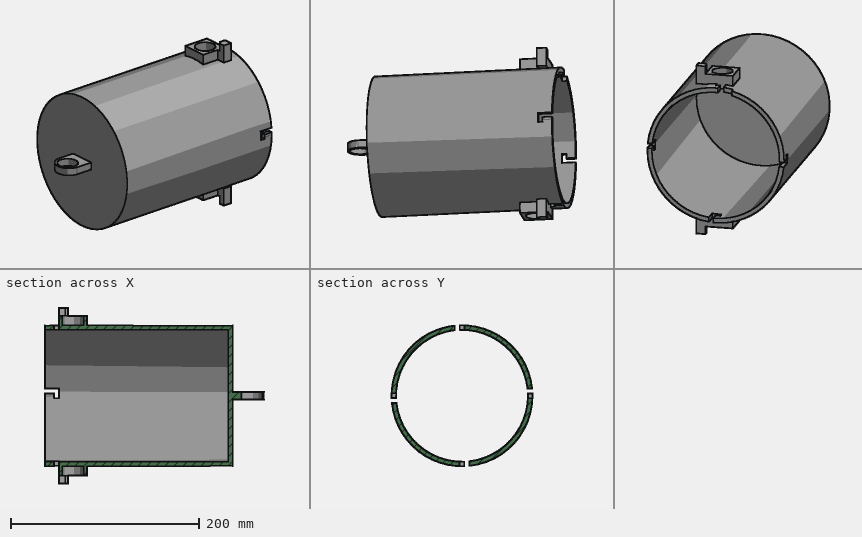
import cadquery as cq
import math

body_length = 200.0
outer_diameter = 150.0
inner_diameter = 140.0
outer_radius = outer_diameter / 2
wall = (outer_diameter - inner_diameter) / 2
floor_thickness = wall

total_length = 233.3
lug_width = 30.0
lug_thickness = 8.2
lug_straight = 20.0
lug_reach = total_length - body_length
hole_diameter = 22.2

slot_width = wall
slot_depth = 15.0
slot_count = 4
rim_notch_width = 15.2

total_height = 186.9
block_size = lug_width
block_top = 85.0
block_back = body_length - slot_depth
block_center_y = block_back - block_size / 2
post_size = 10.0
post_top = total_height / 2
post_bottom = math.sqrt(outer_radius**2 - (block_size / 2) ** 2)
post_chamfer = 3.0


def box(x_range, y_range, z_range):
    """Box spanning the given (low, high) range along each axis."""
    lows, highs = zip(x_range, y_range, z_range)
    sizes = [high - low for low, high in zip(lows, highs)]
    return cq.Workplane("XY").box(*sizes, centered=False).translate(lows)


def y_cylinder(diameter, start, end):
    """Solid cylinder on the Y axis, from Y = start to Y = end."""
    return cq.Workplane("XZ", origin=(0, start, 0)).circle(diameter / 2).extrude(start - end)


def make_lug():
    half_width = lug_width / 2
    lug = (
        cq.Workplane("XY", origin=(0, 0, -lug_thickness / 2))
        .moveTo(half_width, floor_thickness / 2)
        .lineTo(half_width, -lug_straight)
        .threePointArc((0, -lug_reach), (-half_width, -lug_straight))
        .lineTo(-half_width, floor_thickness / 2)
        .close()
        .extrude(lug_thickness)
    )
    hole = (
        cq.Workplane("XY", origin=(0, -lug_straight, -lug_thickness / 2))
        .circle(hole_diameter / 2)
        .extrude(lug_thickness)
    )
    return lug.cut(hole)


def make_slot():
    """L-shaped slot through the top wall: an entry from the rim and a sideways foot."""
    half_width = slot_width / 2
    wall_range = (outer_radius - 2 * wall, outer_radius + wall)
    entry = box((-half_width - slot_width, -half_width), (block_back, body_length), wall_range)
    foot = box((-half_width, half_width), (block_back, block_back + slot_width), wall_range)
    return entry.union(foot)


def make_rim_notch():
    """Shallow step in the rim beside the top slot entry."""
    right = -slot_width / 2
    return box(
        (right - rim_notch_width, right),
        (body_length - slot_width, body_length),
        (outer_radius - 2 * wall, outer_radius + wall),
    )


def make_socket():
    """Block with a blind round socket down to the body, and a post at its back corner."""
    half_size = block_size / 2
    block = box(
        (-half_size, half_size),
        (block_back - block_size, block_back),
        (outer_radius - wall, block_top),
    )
    socket_hole = (
        cq.Workplane("XY", origin=(0, block_center_y, 0))
        .circle(hole_diameter / 2)
        .extrude(post_top)
    )
    block = block.cut(socket_hole)

    post_x = (half_size, half_size + post_size)
    post_y = (block_back - post_size, block_back)
    post_base = box(post_x, post_y, (post_bottom, block_top))
    post_tip = box(post_x, post_y, (block_top, post_top))
    post_tip = post_tip.edges("|Z and <X and <Y").chamfer(post_chamfer)

    body_envelope = y_cylinder(outer_diameter, 0, body_length)
    return block.cut(body_envelope).union(post_base).union(post_tip)


result = y_cylinder(outer_diameter, 0, body_length)
result = result.cut(y_cylinder(inner_diameter, floor_thickness, body_length))

slot = make_slot()
for index in range(slot_count):
    angle = index * 360 / slot_count
    result = result.cut(slot.rotate((0, 0, 0), (0, 1, 0), angle))
result = result.cut(make_rim_notch())

socket = make_socket()
result = result.union(socket).union(socket.mirror("XY"))
result = result.union(make_lug())